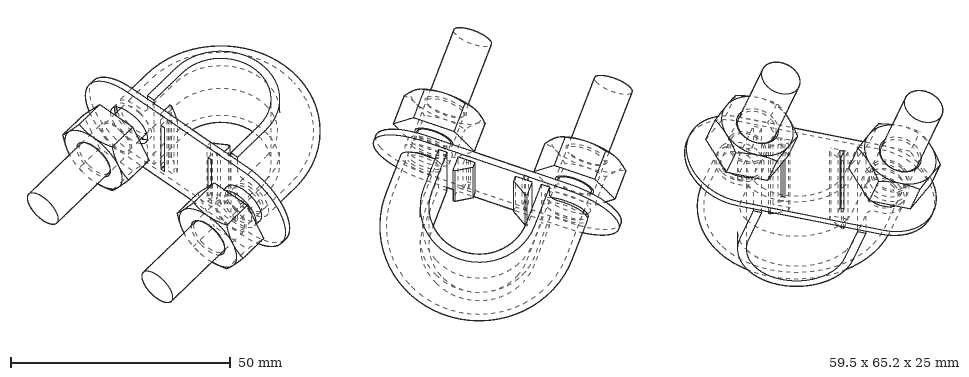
import cadquery as cq
import math


leg_offset = 17.0
neck_diameter = 8.2
stud_diameter = 9.2
stud_end_y = -42.63

cover_diameter = 11.2
band_thickness = 2.0
band_width = 25.0
liner_fillet = 2.0
liner_end_y = -10.0
band_inner_radius = leg_offset - cover_diameter / 2
band_outer_radius = band_inner_radius + band_thickness
seam_height = math.sqrt((cover_diameter / 2) ** 2 - (leg_offset - band_outer_radius) ** 2)
seam_margin = 0.1

plate_thickness = 1.5
plate_width = 25.0
plate_gap = 0.7
plate_back_y = liner_end_y - plate_gap
plate_front_y = plate_back_y - plate_thickness
plate_right_x = leg_offset
plate_left_x = -17.5
collar_diameter = 10.8
collar_height = 2.0
clearance_slot_width = 10.0
clearance_slot_travel = 1.0

louvre_width = 20.0
louvre_inner_x = 4.9
louvre_outer_x = 8.95
louvre_crest = 0.5
louvre_low_height = 1.2
louvre_height = 3.4
slot_inner_x = 6.5
slot_outer_x = 7.5
slot_length = 17.0
louvre_slope = (louvre_height - louvre_low_height) / (louvre_outer_x - louvre_crest - louvre_inner_x)

nut_across_flats = 17.0
nut_across_corners = nut_across_flats / math.cos(math.pi / 6)
nut_height = 8.0
nut_bore_diameter = stud_diameter
nut_countersink_diameter = 10.0
nut_chamfer_angle = math.radians(30)
nut_back_y = -16.7
nut_front_y = nut_back_y - nut_height


def y_cylinder(diameter, x, start_y, end_y):
    """Cylinder along Y between two Y positions, start_y being the upper one."""
    plane = cq.Workplane("XZ", origin=(x, start_y, 0))
    return plane.circle(diameter / 2).extrude(start_y - end_y)


def bent_bar(diameter, end_y):
    """Round bar following the half-circle bend and both straight legs."""
    bend = (
        cq.Workplane("XZ")
        .center(leg_offset, 0)
        .circle(diameter / 2)
        .revolve(180, (-leg_offset, 0, 0), (-leg_offset, 1, 0))
    )
    for side in (-1, 1):
        bend = bend.union(y_cylinder(diameter, side * leg_offset, 0, end_y))
    return bend


def make_rod():
    """U-shaped rod with necked legs that widen into studs at the back of the nuts."""
    rod = bent_bar(neck_diameter, nut_back_y)
    for side in (-1, 1):
        rod = rod.union(y_cylinder(stud_diameter, side * leg_offset, nut_back_y, stud_end_y))
    return rod


def arch(radius, height):
    """Solid with a half-round top and straight sides, centred on Z = 0."""
    return (
        cq.Workplane("XY")
        .moveTo(-radius, liner_end_y)
        .lineTo(-radius, 0)
        .threePointArc((0, radius), (radius, 0))
        .lineTo(radius, liner_end_y)
        .close()
        .extrude(height / 2, both=True)
    )


def make_liner():
    """Round cover over the rod, blended into the wide band that lines the inside of the bend."""
    cover = bent_bar(cover_diameter, liner_end_y)
    band = arch(band_outer_radius, band_width)
    liner = band.union(cover)
    seams = cq.selectors.BoxSelector(
        (-band_outer_radius - seam_margin, liner_end_y - seam_margin, -seam_height - seam_margin),
        (band_outer_radius + seam_margin, band_outer_radius + seam_margin, seam_height + seam_margin),
        boundingbox=True,
    )
    liner = liner.edges(seams).fillet(liner_fillet)
    bore = arch(band_inner_radius, band_width)
    return liner.cut(bore).cut(make_rod())


def make_louvre(side):
    """Wedge-shaped ridge on the back of the plate; side is -1 (left) or 1 (right)."""
    return (
        cq.Workplane("XY")
        .moveTo(side * louvre_inner_x, plate_back_y)
        .lineTo(side * louvre_inner_x, plate_back_y + louvre_low_height)
        .lineTo(side * (louvre_outer_x - louvre_crest), plate_back_y + louvre_height)
        .lineTo(side * louvre_outer_x, plate_back_y + louvre_height)
        .lineTo(side * louvre_outer_x, plate_back_y)
        .close()
        .extrude(louvre_width / 2, both=True)
    )


def make_louvre_slot(side):
    """Slot through the plate below a louvre, with a roof parallel to the louvre's slope."""
    roof_rise = (slot_outer_x - slot_inner_x) * louvre_slope
    return (
        cq.Workplane("XY")
        .moveTo(side * slot_inner_x, plate_front_y)
        .lineTo(side * slot_inner_x, plate_back_y)
        .lineTo(side * slot_outer_x, plate_back_y + roof_rise)
        .lineTo(side * slot_outer_x, plate_front_y)
        .close()
        .extrude(slot_length / 2, both=True)
    )


def make_plate():
    """Round-ended plate with two louvres, a collar on the right leg and a slot for the left leg."""
    middle_x = (plate_left_x + plate_right_x) / 2
    plate = (
        cq.Workplane("XZ", origin=(middle_x, plate_back_y, 0))
        .slot2D(plate_right_x - plate_left_x + plate_width, plate_width)
        .extrude(plate_thickness)
    )
    collar_end_y = plate_front_y - collar_height
    plate = plate.union(y_cylinder(collar_diameter, leg_offset, plate_front_y, collar_end_y))
    for side in (-1, 1):
        plate = plate.union(make_louvre(side)).cut(make_louvre_slot(side))
    collar_hole = y_cylinder(neck_diameter, leg_offset, plate_back_y, collar_end_y)
    clearance_slot = (
        cq.Workplane("XZ", origin=(-leg_offset, plate_back_y, 0))
        .slot2D(clearance_slot_width + clearance_slot_travel, clearance_slot_width)
        .extrude(plate_thickness)
    )
    return plate.cut(collar_hole).cut(clearance_slot)


def make_nut(x):
    """Hexagon nut with corners along X, chamfered and countersunk on its front face."""
    workplane = cq.Workplane("XZ", origin=(x, nut_back_y, 0))
    nut = workplane.polygon(6, nut_across_corners).extrude(nut_height)

    front_radius = nut_across_flats / 2
    back_radius = front_radius + nut_height / math.tan(nut_chamfer_angle)
    trim = (
        cq.Workplane("XY", origin=(x, 0, 0))
        .moveTo(0, nut_back_y)
        .lineTo(back_radius, nut_back_y)
        .lineTo(front_radius, nut_front_y)
        .lineTo(0, nut_front_y)
        .close()
        .revolve(360, (0, 0, 0), (0, 1, 0))
    )
    nut = nut.intersect(trim)
    bore = y_cylinder(nut_bore_diameter, x, nut_back_y, nut_front_y)
    countersink_depth = (nut_countersink_diameter - nut_bore_diameter) / 2
    bore_rim = cq.selectors.RadiusNthSelector(0)
    return nut.cut(bore).faces("<Y").edges(bore_rim).chamfer(countersink_depth)


rod = make_rod()
liner = make_liner()
plate = make_plate()
nuts = [make_nut(side * leg_offset) for side in (-1, 1)]

result = cq.Compound.makeCompound([rod.val(), liner.val(), plate.val(), *[nut.val() for nut in nuts]])